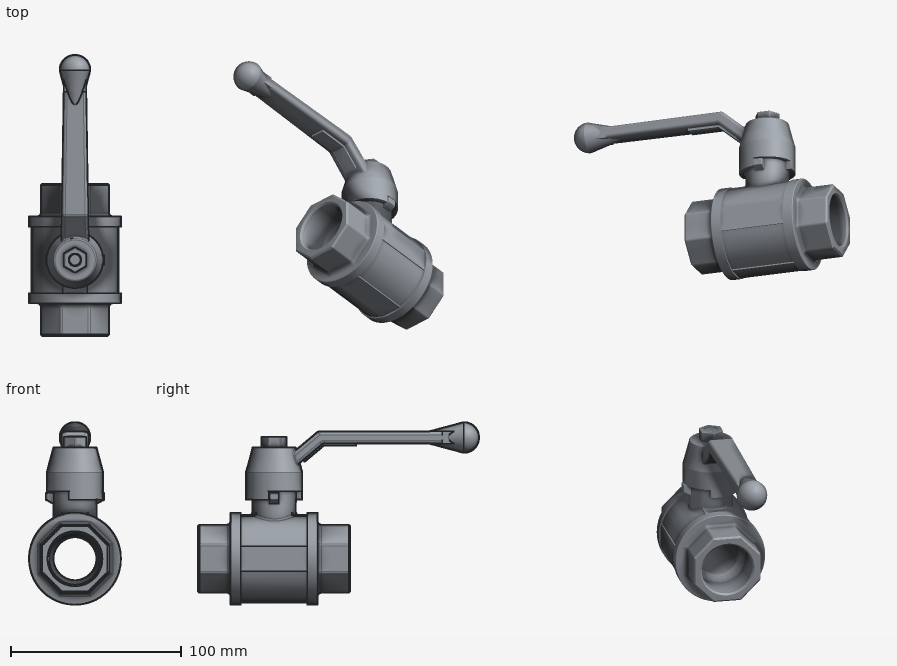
import cadquery as cq
import math


BODY_LENGTH = 89.2
OCTAGON_SIDES = 8
OCTAGON_FLATS = 40.0
OCTAGON_EDGE_FILLET = 2.0
OCTAGON_END_CHAMFER = 1.0
ROOT_FILLET = 2.0
FLANGE_DIAMETER = 54.0
FLANGE_OUTER_Y = 25.5
FLANGE_THICKNESS = 6.1
FLANGE_EDGE_FILLET = 0.5
BARREL_RADIUS = 26.0
PAD_DISTANCE = 25.7
PAD_WIDTH = 14.5
BORE_DIAMETER = 25.0
PORT_DIAMETER = 30.3
PORT_CHAMFER = 1.0
PORT_DEPTH = 19.0
PORT_CONE_LENGTH = 6.5

NECK_DIAMETER = 25.7
NECK_FILLET = 1.5
NECK_TOP = 39.5
LUG_REACH = 17.1
LUG_TOP = 38.5
LUG_WIDTH = 5.6
LUG_EDGE_FILLET = 0.5
LUG_SIDE_BOTTOM = 34.5
LUG_ROOT_BOTTOM = 32.2
STEM_DIAMETER = 7.4
STEM_TIP_DIAMETER = 6.5

HUB_DIAMETER = 33.0
HUB_BOTTOM = 34.5
HUB_CONE_BOTTOM = 50.5
HUB_TOP = 65.3
HUB_TOP_DIAMETER = 25.2
HUB_TOP_FILLET = 1.0
SKIRT_INNER_DIAMETER = 27.0
SKIRT_CUT_X = 3.6
SKIRT_CUT_Y = 3.1

LEVER_TOP = 74.5
LEVER_THICKNESS = 7.2
LEVER_BEND_Y = 25.8
LEVER_BEND_ANGLE = 40.0
LEVER_ROOT_Y = 8.2
LEVER_ROOT_WIDTH = 16.1
LEVER_TIP_WIDTH = 13.0
LEVER_TIP_Y = 98.2
LEVER_EDGE_FILLET = 2.0
LEVER_BEND_FILLET = 2.0
LEVER_ROOT_FILLET = 0.8
RIB_DEPTH = 1.3
RIB_WIDTH = 8.2
RIB_OUTER_Y = 48.0
RIB_INNER_Y = 17.8
KNOB_RADIUS = 9.0
KNOB_Y = 110.9
KNOB_CONE_LENGTH = 21.4
KNOB_CONE_TIP_RADIUS = 3.3

NUT_SIDES = 6
NUT_FLATS = 13.0
NUT_HEIGHT = 6.1
NUT_CORNER_FILLET = 0.8
NUT_TOP_FILLET = 0.5

EDGE_MARGIN = 0.2

NUT_TOP = HUB_TOP + NUT_HEIGHT
LEVER_MID = LEVER_TOP - LEVER_THICKNESS / 2


def y_cylinder(radius, y_start, y_end):
    """Solid cylinder on the port axis."""
    plane = cq.Workplane("XZ", origin=(0, y_start, 0))
    return plane.circle(radius).extrude(y_start - y_end)


def z_cylinder(diameter, z_bottom, z_top):
    """Solid cylinder on the stem axis."""
    return cq.Workplane("XY", origin=(0, 0, z_bottom)).circle(diameter / 2).extrude(z_top - z_bottom)


def make_end_fitting():
    """Octagonal end with its flange, on the -Y side."""
    corner_diameter = OCTAGON_FLATS / math.cos(math.pi / OCTAGON_SIDES)
    octagon = (
        cq.Workplane("XZ", origin=(0, -FLANGE_OUTER_Y, 0))
        .polygon(OCTAGON_SIDES, corner_diameter)
        .extrude(BODY_LENGTH / 2 - FLANGE_OUTER_Y)
        .rotate((0, 0, 0), (0, 1, 0), 180 / OCTAGON_SIDES)
        .faces("<Y")
        .edges()
        .chamfer(OCTAGON_END_CHAMFER)
    )
    flange = y_cylinder(FLANGE_DIAMETER / 2, -FLANGE_OUTER_Y, -FLANGE_OUTER_Y + FLANGE_THICKNESS)
    flange = flange.faces("<Y").edges().fillet(FLANGE_EDGE_FILLET)
    root_reach = OCTAGON_FLATS / 2 + ROOT_FILLET
    root_edges = cq.selectors.BoxSelector(
        (-root_reach, -FLANGE_OUTER_Y - EDGE_MARGIN, -root_reach),
        (root_reach, -FLANGE_OUTER_Y + EDGE_MARGIN, root_reach),
        boundingbox=True,
    )
    fitting = octagon.union(flange).edges(root_edges).fillet(ROOT_FILLET)
    return fitting.edges("|Y").edges(cq.selectors.LengthNthSelector(-1)).fillet(OCTAGON_EDGE_FILLET)


def make_barrel_and_neck():
    """Barrel with four flat pads between the flanges, and the filleted neck."""
    inner_y = FLANGE_OUTER_Y - FLANGE_THICKNESS
    pad_span = 2 * PAD_DISTANCE
    trim = cq.Workplane("XY").box(pad_span, 2 * inner_y, pad_span)
    barrel = y_cylinder(BARREL_RADIUS, -inner_y, inner_y).intersect(trim)
    side_pads = cq.Workplane("XY").box(pad_span, 2 * inner_y, PAD_WIDTH)
    top_and_bottom_pads = cq.Workplane("XY").box(PAD_WIDTH, 2 * inner_y, pad_span)
    neck = z_cylinder(NECK_DIAMETER, 0, NECK_TOP)
    body = barrel.union(side_pads).union(top_and_bottom_pads).union(neck)
    reach = NECK_DIAMETER / 2 + EDGE_MARGIN
    foot_edges = cq.selectors.BoxSelector(
        (-reach, -reach, PAD_DISTANCE / 2), (reach, reach, PAD_DISTANCE + EDGE_MARGIN), boundingbox=True
    )
    return body.edges(foot_edges).fillet(NECK_FILLET)


def make_lugs():
    """Two opposed stop lugs on the neck, sloped underneath."""
    neck_radius = NECK_DIAMETER / 2
    lugs = cq.Workplane("XY")
    for side in (-1, 1):
        lug = (
            cq.Workplane("XZ", origin=(0, LUG_WIDTH / 2, 0))
            .moveTo(0, LUG_TOP)
            .lineTo(side * LUG_REACH, LUG_TOP)
            .lineTo(side * LUG_REACH, LUG_SIDE_BOTTOM)
            .lineTo(side * neck_radius, LUG_ROOT_BOTTOM)
            .lineTo(0, LUG_ROOT_BOTTOM)
            .close()
            .extrude(LUG_WIDTH)
        )
        outer_face = ">X" if side > 0 else "<X"
        lugs = lugs.add(lug.faces(outer_face).edges().fillet(LUG_EDGE_FILLET))
    return lugs.combine()


def make_port():
    """Round port with a chamfered mouth and a cone down to the bore, on the -Y side."""
    end_y = -BODY_LENGTH / 2
    port_radius = PORT_DIAMETER / 2
    return (
        cq.Workplane("XY")
        .moveTo(0, end_y)
        .lineTo(port_radius + PORT_CHAMFER, end_y)
        .lineTo(port_radius, end_y + PORT_CHAMFER)
        .lineTo(port_radius, end_y + PORT_DEPTH)
        .lineTo(BORE_DIAMETER / 2, end_y + PORT_DEPTH + PORT_CONE_LENGTH)
        .lineTo(0, end_y + PORT_DEPTH + PORT_CONE_LENGTH)
        .close()
        .revolve(360, (0, 0, 0), (0, 1, 0))
    )


def make_body():
    """Valve body with its ports, neck, stop lugs and stem."""
    fitting = make_end_fitting()
    port = make_port()
    bore = y_cylinder(BORE_DIAMETER / 2, -BODY_LENGTH / 2, BODY_LENGTH / 2)
    stem_chamfer = (STEM_DIAMETER - STEM_TIP_DIAMETER) / 2
    stem = z_cylinder(STEM_DIAMETER, NECK_TOP, NUT_TOP).faces(">Z").chamfer(stem_chamfer)
    return (
        make_barrel_and_neck()
        .union(fitting)
        .union(fitting.mirror("XZ"))
        .union(make_lugs())
        .union(stem)
        .cut(bore)
        .cut(port)
        .cut(port.mirror("XZ"))
    )


def make_hub():
    """Round hub with a conical top."""
    radius = HUB_DIAMETER / 2
    return (
        cq.Workplane("XZ")
        .moveTo(0, HUB_BOTTOM)
        .lineTo(radius, HUB_BOTTOM)
        .lineTo(radius, HUB_CONE_BOTTOM)
        .lineTo(HUB_TOP_DIAMETER / 2, HUB_TOP)
        .lineTo(0, HUB_TOP)
        .close()
        .revolve(360, (0, 0, 0), (0, 1, 0))
        .faces(">Z")
        .edges()
        .fillet(HUB_TOP_FILLET)
    )


def bent_strip(top, bend_y, thickness, inner_y, outer_y, width):
    """Bar of even thickness, level outside the bend and falling towards the hub inside it."""
    slope = math.tan(math.radians(LEVER_BEND_ANGLE))
    lower_bend_y = bend_y + thickness * math.tan(math.radians(LEVER_BEND_ANGLE / 2))
    bottom = top - thickness
    return (
        cq.Workplane("YZ", origin=(-width / 2, 0, 0))
        .moveTo(outer_y, top)
        .lineTo(bend_y, top)
        .lineTo(inner_y, top - (bend_y - inner_y) * slope)
        .lineTo(inner_y, bottom - (lower_bend_y - inner_y) * slope)
        .lineTo(lower_bend_y, bottom)
        .lineTo(outer_y, bottom)
        .close()
        .extrude(width)
    )


def make_lever():
    """Cranked bar that narrows towards the knob, its long edges rounded up to the square tip."""
    bar = bent_strip(LEVER_TOP, LEVER_BEND_Y, LEVER_THICKNESS, LEVER_ROOT_Y, KNOB_Y, LEVER_ROOT_WIDTH)
    bend_edges = cq.selectors.BoxSelector(
        (-LEVER_ROOT_WIDTH, LEVER_BEND_Y - EDGE_MARGIN, LEVER_TOP - LEVER_THICKNESS - EDGE_MARGIN),
        (LEVER_ROOT_WIDTH, LEVER_BEND_Y + LEVER_THICKNESS, LEVER_TOP + EDGE_MARGIN),
        boundingbox=True,
    )
    bar = bar.edges(bend_edges).edges("|X").fillet(LEVER_BEND_FILLET)
    plan_shape = (
        cq.Workplane("XY")
        .moveTo(-LEVER_ROOT_WIDTH / 2, LEVER_ROOT_Y)
        .lineTo(LEVER_ROOT_WIDTH / 2, LEVER_ROOT_Y)
        .lineTo(LEVER_TIP_WIDTH / 2, KNOB_Y)
        .lineTo(-LEVER_TIP_WIDTH / 2, KNOB_Y)
        .close()
        .extrude(2 * LEVER_TOP)
    )
    long_edges = "(not |X) and (not <Y) and (not >Y)"
    square_bar = bar.intersect(plan_shape)
    tip_zone = cq.Workplane("XY").box(
        LEVER_ROOT_WIDTH, KNOB_Y - LEVER_TIP_Y, 2 * LEVER_TOP, centered=(True, False, False)
    )
    square_tip = square_bar.intersect(tip_zone.translate((0, LEVER_TIP_Y, 0)))
    return square_bar.edges(long_edges).fillet(LEVER_EDGE_FILLET).union(square_tip)


def make_rib():
    """Shallow stiffening rib along the underside of the bend."""
    mid_bend_y = LEVER_BEND_Y + LEVER_THICKNESS / 2 * math.tan(math.radians(LEVER_BEND_ANGLE / 2))
    depth = LEVER_THICKNESS / 2 + RIB_DEPTH
    return bent_strip(LEVER_MID, mid_bend_y, depth, RIB_INNER_Y, RIB_OUTER_Y, RIB_WIDTH)


def make_knob():
    """Ball end with a cone that runs out into the lever."""
    cone_tip_y = KNOB_Y - KNOB_CONE_LENGTH
    return (
        cq.Workplane("XY")
        .moveTo(0, KNOB_Y + KNOB_RADIUS)
        .radiusArc((KNOB_RADIUS, KNOB_Y), KNOB_RADIUS)
        .lineTo(KNOB_CONE_TIP_RADIUS, cone_tip_y)
        .lineTo(0, cone_tip_y)
        .close()
        .revolve(360, (0, 0, 0), (0, 1, 0))
        .translate((0, 0, LEVER_MID))
    )


def make_skirt_cut():
    """Two opposed corner cuts in the skirt that let the handle turn past the lugs."""
    size = HUB_DIAMETER
    corner = (
        cq.Workplane("XY", origin=(SKIRT_CUT_X, -SKIRT_CUT_Y, HUB_BOTTOM))
        .rect(size, size, centered=False)
        .extrude(NECK_TOP - HUB_BOTTOM)
    )
    return corner.union(corner.rotate((0, 0, 0), (0, 0, 1), 180))


def make_handle():
    """Hub, lever, rib and knob in one piece, hollowed for the neck and the stem."""
    root_corner = LEVER_ROOT_WIDTH / 2 + EDGE_MARGIN
    root_edges = cq.selectors.BoxSelector(
        (-root_corner, LEVER_ROOT_Y, HUB_CONE_BOTTOM),
        (root_corner, HUB_DIAMETER / 2, HUB_TOP),
        boundingbox=True,
    )
    hub_and_lever = make_hub().union(make_lever()).edges(root_edges).fillet(LEVER_ROOT_FILLET)
    handle = hub_and_lever.union(make_rib()).union(make_knob())
    neck_room = z_cylinder(SKIRT_INNER_DIAMETER, HUB_BOTTOM, NECK_TOP)
    stem_hole = z_cylinder(STEM_DIAMETER, NECK_TOP, HUB_TOP)
    return handle.cut(neck_room).cut(make_skirt_cut()).cut(stem_hole)


def make_nut():
    """Hexagon nut around the stem, with corners towards +Y and -Y."""
    corner_diameter = NUT_FLATS / math.cos(math.pi / NUT_SIDES)
    return (
        cq.Workplane("XY", origin=(0, 0, HUB_TOP))
        .polygon(NUT_SIDES, corner_diameter)
        .extrude(NUT_HEIGHT)
        .rotate((0, 0, 0), (0, 0, 1), 180 / NUT_SIDES)
        .edges("|Z")
        .fillet(NUT_CORNER_FILLET)
        .faces(">Z")
        .edges()
        .fillet(NUT_TOP_FILLET)
        .cut(z_cylinder(STEM_DIAMETER, HUB_TOP, NUT_TOP))
    )


body = make_body()
handle = make_handle()
nut = make_nut()
result = cq.Compound.makeCompound([body.solids().val(), handle.solids().val(), nut.solids().val()])